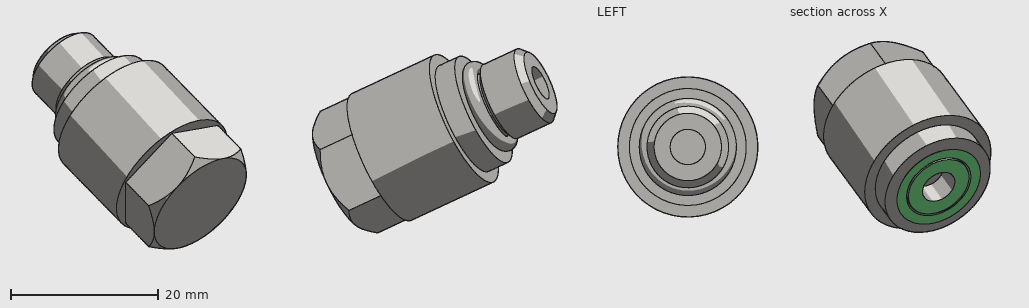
import cadquery as cq
import math

tip_chamfer_end = 1.0
spigot_chamfer_start = 6.25
spigot_end = 6.85
collar_start = 8.9
body_start = 11.95
body_end = 24.8
total_length = 31.1

tip_radius = 4.57
spigot_radius = 5.55
spigot_end_radius = 4.6
collar_radius = 7.93
body_radius = 9.52
bore_radius = 2.4
bore_depth = body_start

ring_section_radius = (collar_start - spigot_end) / 2
ring_outer_radius = 6.6
ring_center_radius = ring_outer_radius - ring_section_radius
ring_center_x = (spigot_end + collar_start) / 2

hex_across_flats = 15.85
hex_across_corners = hex_across_flats / math.cos(math.radians(30))
hex_chamfer_radius = hex_across_flats / 2
hex_chamfer_angle = 45.0


def revolve_about_x(profile):
    return profile.revolve(360, (0, 0, 0), (1, 0, 0))


def turned_blank():
    """Spigot, neck, collar and body as one revolved outline."""
    profile = (
        cq.Workplane("XY")
        .polyline([
            (0, 0),
            (0, tip_radius),
            (tip_chamfer_end, spigot_radius),
            (spigot_chamfer_start, spigot_radius),
            (spigot_end, spigot_end_radius),
            (collar_start, spigot_end_radius),
            (collar_start, collar_radius),
            (body_start, collar_radius),
            (body_start, body_radius),
            (body_end, body_radius),
            (body_end, 0),
        ])
        .close()
    )
    return revolve_about_x(profile)


def o_ring():
    profile = cq.Workplane("XY").center(ring_center_x, ring_center_radius).circle(ring_section_radius)
    return profile.revolve(360, (-ring_center_x, -ring_center_radius, 0),
                           (0.3 - ring_center_x, -ring_center_radius, 0))


def hex_end():
    """Hexagonal wrench end, its corners trimmed by a cone at the end face."""
    length = total_length - body_end
    prism = (
        cq.Workplane("YZ", origin=(body_end, 0, 0))
        .transformed(rotate=(0, 0, 90))
        .polygon(6, hex_across_corners)
        .extrude(length)
    )
    cone_base_radius = hex_chamfer_radius + length / math.tan(math.radians(hex_chamfer_angle))
    cone = revolve_about_x(
        cq.Workplane("XY")
        .polyline([
            (body_end, 0),
            (body_end, cone_base_radius),
            (total_length, hex_chamfer_radius),
            (total_length, 0),
        ])
        .close()
    )
    return prism.intersect(cone)


def bore():
    return cq.Workplane("YZ").circle(bore_radius).extrude(bore_depth)


result = turned_blank().union(o_ring()).union(hex_end()).cut(bore())